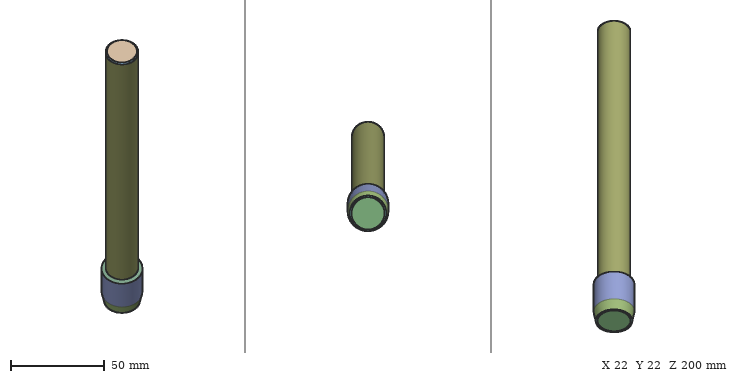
import cadquery as cq

total_length = 200.0
rod_diameter = 17.5
rod_chamfer = 0.8

sleeve_diameter = 22.0
sleeve_length = 25.8
shoulder_height = 0.8
taper_height = 6.5
taper_end_diameter = 19.5


def make_rod():
    """Straight round rod with a chamfered top edge."""
    rod = cq.Workplane("XY").circle(rod_diameter / 2).extrude(total_length)
    return rod.faces(">Z").chamfer(rod_chamfer)


def make_sleeve():
    """Ring that fits the rod, with a tapered lower end and a sloped top shoulder."""
    bore_radius = rod_diameter / 2
    outer_radius = sleeve_diameter / 2
    profile = (
        cq.Workplane("XZ")
        .moveTo(bore_radius, 0)
        .lineTo(taper_end_diameter / 2, 0)
        .lineTo(outer_radius, taper_height)
        .lineTo(outer_radius, sleeve_length - shoulder_height)
        .lineTo(bore_radius, sleeve_length)
        .close()
    )
    return profile.revolve(360, (0, 0, 0), (0, 1, 0))


rod = make_rod()
sleeve = make_sleeve()

result = cq.Compound.makeCompound([rod.val(), sleeve.val()])